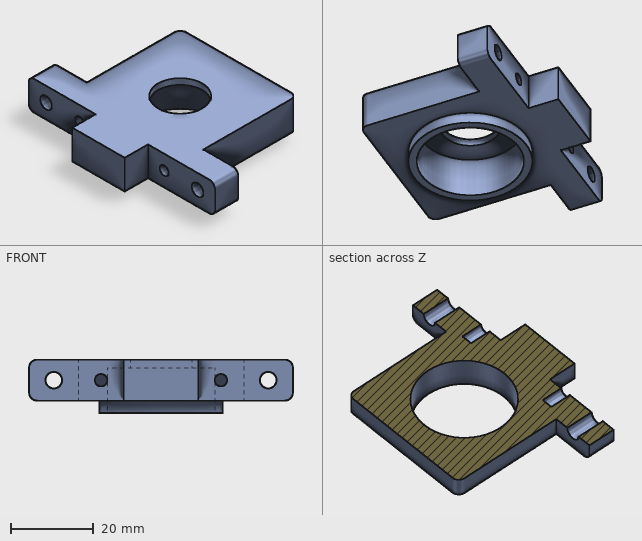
import cadquery as cq

overall_width = 64.0
overall_depth = 48.0
plate_thickness = 10.0
body_width = 40.0
flange_depth = 8.0
tongue_width = 18.0
tongue_depth = 8.0
corner_radius = 2.0

boss_diameter = 30.0
boss_height = 3.0
bore_diameter = 15.0
counterbore_diameter = 26.0
upper_bore_depth = 2.0

through_hole_diameter = 4.0
through_hole_offset = 26.0
blind_hole_diameter = 3.0
blind_hole_offset = 14.5
blind_hole_depth = 6.0

back_y = body_width / 2
front_y = back_y - overall_depth
flange_front_y = front_y + tongue_depth
flange_back_y = flange_front_y + flange_depth


def block(width, y_front, y_back):
    """Block of plate thickness, centred on X, between two Y positions."""
    depth = y_back - y_front
    return (
        cq.Workplane("XY")
        .box(width, depth, plate_thickness, centered=(True, False, False))
        .translate((0, y_front, 0))
    )


def flange_holes(diameter, offset, depth):
    """Mirrored pair of round cutters entering the flange front face."""
    front_plane = cq.Plane(
        origin=(0, flange_front_y, plate_thickness / 2), xDir=(-1, 0, 0), normal=(0, 1, 0)
    )
    return (
        cq.Workplane(front_plane)
        .pushPoints([(-offset, 0), (offset, 0)])
        .circle(diameter / 2)
        .extrude(depth)
    )


def cylinder(diameter, bottom_z, top_z):
    """Cylinder on the bore axis."""
    return cq.Workplane("XY").workplane(offset=bottom_z).circle(diameter / 2).extrude(top_z - bottom_z)


body = block(body_width, flange_front_y, back_y).edges("|Z and >Y").fillet(corner_radius)
flange = block(overall_width, flange_front_y, flange_back_y).edges("|Y").fillet(corner_radius)
tongue = block(tongue_width, front_y, flange_back_y)
boss = cylinder(boss_diameter, -boss_height, plate_thickness)

upper_bore = cylinder(bore_diameter, -boss_height, plate_thickness)
counterbore = cylinder(counterbore_diameter, -boss_height, plate_thickness - upper_bore_depth)

result = (
    body.union(flange)
    .union(tongue)
    .union(boss)
    .cut(upper_bore)
    .cut(counterbore)
    .cut(flange_holes(through_hole_diameter, through_hole_offset, flange_depth))
    .cut(flange_holes(blind_hole_diameter, blind_hole_offset, blind_hole_depth))
)